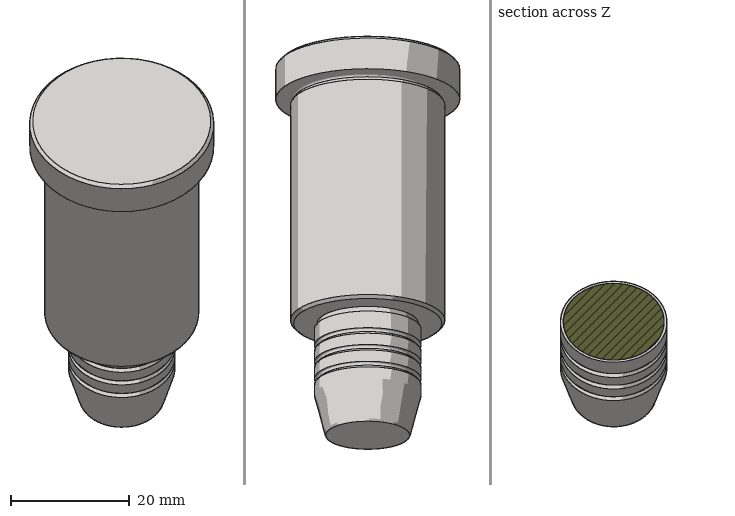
import cadquery as cq

total_height = 66.0

head_radius = 15.5
head_height = 6.0
edge_chamfer = 0.5

body_radius = 13.0
body_bottom = 20.0
undercut_depth = 0.4
undercut_height = 1.0
undercut_fillet = 0.4

stub_radius = 9.0
neck_depth = 0.45
neck_height = 1.0
groove_count = 3
groove_height = 1.0
groove_depth = 0.45
groove_fillet = 0.25
first_groove_top = 16.05
last_groove_top = 10.0

taper_top = 7.0
tip_radius = 7.25
tip_chamfer_height = 0.4
tip_chamfer_width = 0.2

groove_pitch = (first_groove_top - last_groove_top) / (groove_count - 1)
head_bottom = total_height - head_height
undercut_radius = body_radius - undercut_depth
arc_midpoint_factor = 1 - 0.5 ** 0.5


def make_head_and_body():
    """Head, undercut and body as one revolved half profile."""
    fillet_offset = undercut_fillet * arc_midpoint_factor
    return (
        cq.Workplane("XZ")
        .moveTo(0, total_height)
        .lineTo(head_radius - edge_chamfer, total_height)
        .lineTo(head_radius, total_height - edge_chamfer)
        .lineTo(head_radius, head_bottom)
        .lineTo(undercut_radius + undercut_fillet, head_bottom)
        .threePointArc(
            (undercut_radius + fillet_offset, head_bottom - fillet_offset),
            (undercut_radius, head_bottom - undercut_fillet),
        )
        .lineTo(body_radius, head_bottom - undercut_height)
        .lineTo(body_radius, body_bottom + edge_chamfer)
        .lineTo(body_radius - edge_chamfer, body_bottom)
        .lineTo(0, body_bottom)
        .close()
        .revolve(360, (0, 0, 0), (0, 1, 0))
    )


def make_stub():
    """Neck, plain stub and tapered tip; it reaches up to the body."""
    neck_radius = stub_radius - neck_depth
    neck_bottom = body_bottom - neck_height
    return (
        cq.Workplane("XZ")
        .moveTo(0, body_bottom)
        .lineTo(neck_radius, body_bottom)
        .lineTo(neck_radius, neck_bottom)
        .lineTo(stub_radius, neck_bottom)
        .lineTo(stub_radius, taper_top)
        .lineTo(tip_radius, tip_chamfer_height)
        .lineTo(tip_radius - tip_chamfer_width, 0)
        .lineTo(0, 0)
        .close()
        .revolve(360, (0, 0, 0), (0, 1, 0))
    )


def make_groove(top):
    """Ring to cut: filleted upper shoulder, 45 degree lower flank."""
    floor_radius = stub_radius - groove_depth
    fillet_offset = groove_fillet * arc_midpoint_factor
    bottom = top - groove_height
    return (
        cq.Workplane("XZ")
        .moveTo(stub_radius, top)
        .lineTo(floor_radius + groove_fillet, top)
        .threePointArc(
            (floor_radius + fillet_offset, top - fillet_offset),
            (floor_radius, top - groove_fillet),
        )
        .lineTo(floor_radius, bottom + groove_depth)
        .lineTo(stub_radius, bottom)
        .close()
        .revolve(360, (0, 0, 0), (0, 1, 0))
    )


result = make_head_and_body().union(make_stub())
for index in range(groove_count):
    result = result.cut(make_groove(first_groove_top - index * groove_pitch))